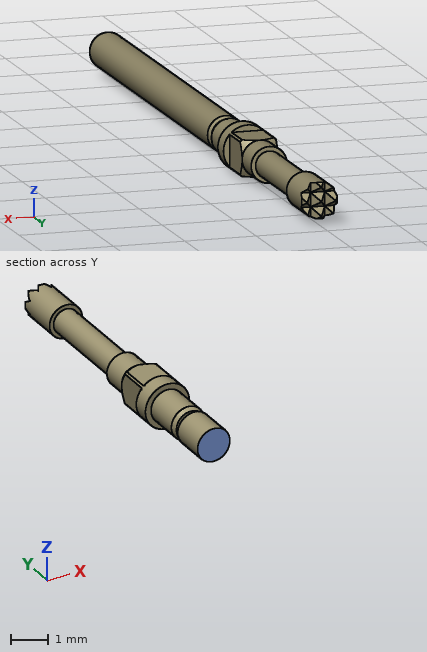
import cadquery as cq
import math

length = 19.0
body_diameter = 1.0
neck_diameter = 0.76
collar_diameter = 1.35

head_end = 1.5
neck_end = 4.6
square_start = 5.4
collar_start = 6.5
collar_end = 7.0
groove_middle = 8.26

square_width = body_diameter
square_lead_angle = 45.0
groove_width = 0.35
groove_depth = 0.05
tail_chamfer = 0.2
tooth_pitch = 0.4
tooth_angle = 60.0

tip_y = length / 2
tail_y = -length / 2
body_radius = body_diameter / 2
collar_radius = collar_diameter / 2
tooth_depth = tooth_pitch / 2 / math.tan(math.radians(tooth_angle / 2))


def turned_body():
    """Round pin: head, neck, shoulder, collar and grooved barrel with a chamfered tail."""
    neck_radius = neck_diameter / 2
    groove_y = tip_y - groove_middle
    profile = (
        cq.Workplane("XY")
        .moveTo(0, tip_y)
        .lineTo(body_radius, tip_y)
        .lineTo(body_radius, tip_y - head_end)
        .lineTo(neck_radius, tip_y - head_end)
        .lineTo(neck_radius, tip_y - neck_end)
        .lineTo(body_radius, tip_y - neck_end)
        .lineTo(body_radius, tip_y - collar_start)
        .lineTo(collar_radius, tip_y - collar_start)
        .lineTo(collar_radius, tip_y - collar_end)
        .lineTo(body_radius, tip_y - collar_end)
        .lineTo(body_radius, groove_y + groove_width / 2)
        .lineTo(body_radius - groove_depth, groove_y)
        .lineTo(body_radius, groove_y - groove_width / 2)
        .lineTo(body_radius, tail_y + tail_chamfer)
        .lineTo(body_radius - tail_chamfer, tail_y)
        .lineTo(0, tail_y)
        .close()
    )
    return profile.revolve(360, (0, 0, 0), (0, 1, 0))


def square_section():
    """Square press-fit section with corners rounded to the collar and a conical lead-in."""
    square_length = collar_start - square_start
    lead_length = (collar_radius - body_radius) / math.tan(math.radians(square_lead_angle))
    start_y = tip_y - square_start
    end_y = tip_y - collar_start
    square = cq.Workplane("XY").box(square_width, square_length, square_width)
    square = square.translate((0, (start_y + end_y) / 2, 0))
    round_limit = (
        cq.Workplane("XY")
        .moveTo(0, start_y)
        .lineTo(body_radius, start_y)
        .lineTo(collar_radius, start_y - lead_length)
        .lineTo(collar_radius, end_y)
        .lineTo(0, end_y)
        .close()
        .revolve(360, (0, 0, 0), (0, 1, 0))
    )
    return square.intersect(round_limit)


def tooth_groove(offset):
    """V groove along Z, its bottom edge at X = offset, open at the crown tip."""
    groove = (
        cq.Workplane("XY")
        .workplane(offset=-body_radius)
        .moveTo(offset - tooth_pitch / 2, tip_y)
        .lineTo(offset, tip_y - tooth_depth)
        .lineTo(offset + tooth_pitch / 2, tip_y)
        .close()
        .extrude(body_diameter)
    )
    return groove


result = turned_body().union(square_section())

for pitches in (-1.5, -0.5, 0.5, 1.5):
    groove = tooth_groove(pitches * tooth_pitch)
    result = result.cut(groove)
    result = result.cut(groove.rotate((0, 0, 0), (0, 1, 0), 90))